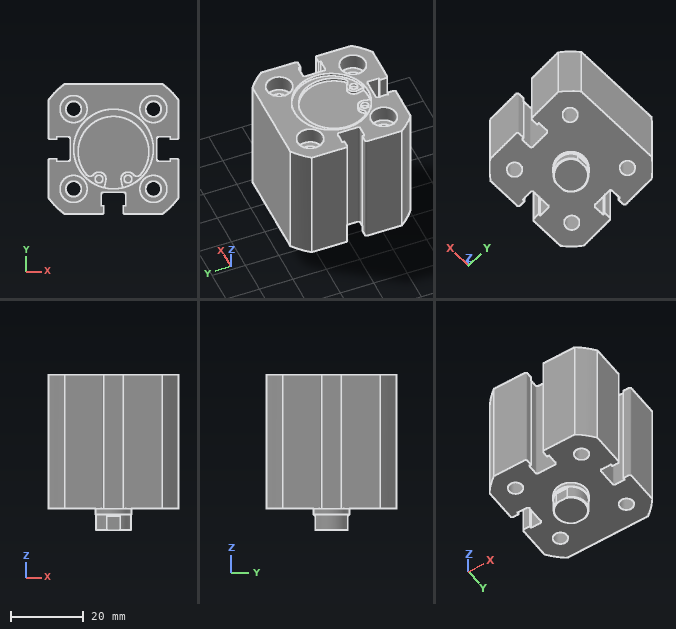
import cadquery as cq
import math

WIDTH = 36.0
CORNER_RADIUS = 22.5
TOTAL_HEIGHT = 43.0
ROD_PROTRUSION = 6.0
HOUSING_HEIGHT = TOTAL_HEIGHT - ROD_PROTRUSION

SLOT_MOUTH = 5.35
SLOT_WIDTH = 6.65
SLOT_DEPTH = 6.0
SLOT_LIP = 2.4
SLOT_ROUND = 0.5
SLOT_TURNS = (0, 90, 270)

MOUNT_PITCH = 22.0
MOUNT_DIAMETER = 4.2
MOUNT_HEAD_DIAMETER = 7.5
MOUNT_HEAD_DEPTH = 5.0

BORE_RADIUS = 11.0
RING_DEPTH = 0.95
RING_THICKNESS = 1.05
COVER_THICKNESS = 4.0
COVER_TOP = HOUSING_HEIGHT - RING_DEPTH - RING_THICKNESS
COVER_BOTTOM = COVER_TOP - COVER_THICKNESS

RING_OPENING_RADIUS = 9.75
RING_OPENING_Y = -0.77
LUG_X = 4.0
LUG_Y = -8.3
LUG_RADIUS = 1.95
LUG_HOLE_DIAMETER = 2.15
LUG_BLEND_RADIUS = 1.3
RING_GAP = 5.1

ROD_RADIUS = 5.0
ROD_COLLAR = 1.55
ROD_TIP_RADIUS = 4.85
ROD_TIP_CHAMFER = 0.2
ROD_FLAT_DISTANCE = 9.0


def make_slot():
    """Stepped slot that enters the -Y side and runs the full height."""
    outer_y = -WIDTH / 2
    mouth = cq.Workplane("XY").box(SLOT_MOUTH, SLOT_DEPTH, HOUSING_HEIGHT, centered=(True, False, False))
    mouth = mouth.translate((0, outer_y, 0))
    chamber = cq.Workplane("XY").box(
        SLOT_WIDTH, SLOT_DEPTH - SLOT_LIP, HOUSING_HEIGHT, centered=(True, False, False)
    )
    chamber = chamber.edges("|Z and >Y").fillet(SLOT_ROUND)
    return mouth.union(chamber.translate((0, outer_y + SLOT_LIP, 0)))


def make_housing():
    """Block with rounded corners, slots, mounting holes, cover bore and rod hole."""
    housing = cq.Workplane("XY").rect(WIDTH, WIDTH).extrude(HOUSING_HEIGHT)
    housing = housing.intersect(cq.Workplane("XY").circle(CORNER_RADIUS).extrude(HOUSING_HEIGHT))

    for turn in SLOT_TURNS:
        housing = housing.cut(make_slot().rotate((0, 0, 0), (0, 0, 1), turn))

    half_mouth = SLOT_MOUTH / 2
    side = WIDTH / 2
    mouth_edges = [(end * half_mouth, -side) for end in (-1, 1)]
    mouth_edges += [(face * side, end * half_mouth) for face in (-1, 1) for end in (-1, 1)]
    for x, y in mouth_edges:
        edge = housing.edges(cq.selectors.NearestToPointSelector((x, y, HOUSING_HEIGHT / 2)))
        housing = edge.fillet(SLOT_ROUND)

    housing = (
        housing.faces(">Z").workplane(origin=(0, 0, HOUSING_HEIGHT))
        .rect(MOUNT_PITCH, MOUNT_PITCH, forConstruction=True).vertices()
        .cboreHole(MOUNT_DIAMETER, MOUNT_HEAD_DIAMETER, MOUNT_HEAD_DEPTH)
    )
    bore = cq.Workplane("XY").workplane(offset=COVER_BOTTOM).circle(BORE_RADIUS)
    housing = housing.cut(bore.extrude(HOUSING_HEIGHT - COVER_BOTTOM))
    return housing.cut(cq.Workplane("XY").circle(ROD_RADIUS).extrude(COVER_BOTTOM))


def make_cover():
    """Plain disc that closes the bore."""
    return cq.Workplane("XY").workplane(offset=COVER_BOTTOM).circle(BORE_RADIUS).extrude(COVER_THICKNESS)


def point_at(center, radius, angle):
    """Point on a circle, with the angle in radians."""
    return (center[0] + radius * math.cos(angle), center[1] + radius * math.sin(angle))


def angle_to(start, end):
    """Direction from one point to another, in radians."""
    return math.atan2(end[1] - start[1], end[0] - start[0])


def mirrored(point):
    return (-point[0], point[1])


def make_ring():
    """Internal retaining ring that tapers towards two lugs with plier holes."""
    opening = (0, RING_OPENING_Y)
    lug = (LUG_X, LUG_Y)

    to_opening = RING_OPENING_RADIUS - LUG_BLEND_RADIUS
    to_lug = LUG_RADIUS + LUG_BLEND_RADIUS
    span = math.dist(opening, lug)
    swing = math.acos((to_opening**2 + span**2 - to_lug**2) / (2 * to_opening * span))
    blend_angle = angle_to(opening, lug) + swing
    blend = point_at(opening, to_opening, blend_angle)
    blend_start = point_at(opening, RING_OPENING_RADIUS, blend_angle)
    lug_start_angle = angle_to(lug, blend)
    lug_start = point_at(lug, LUG_RADIUS, lug_start_angle)
    blend_end_angle = lug_start_angle - math.pi
    blend_middle = point_at(blend, LUG_BLEND_RADIUS, (blend_angle + blend_end_angle) / 2)

    tip = (RING_GAP / 2, -math.sqrt(BORE_RADIUS**2 - (RING_GAP / 2) ** 2))
    tangent_swing = math.acos(LUG_RADIUS / math.dist(lug, tip))
    lug_end_angle = angle_to(lug, tip) - tangent_swing + 2 * math.pi
    lug_end = point_at(lug, LUG_RADIUS, lug_end_angle)
    lug_middle = point_at(lug, LUG_RADIUS, (lug_start_angle + lug_end_angle) / 2)

    ring = (
        cq.Workplane("XY").workplane(offset=COVER_TOP)
        .moveTo(*tip)
        .threePointArc((0, BORE_RADIUS), mirrored(tip))
        .lineTo(*mirrored(lug_end))
        .threePointArc(mirrored(lug_middle), mirrored(lug_start))
        .threePointArc(mirrored(blend_middle), mirrored(blend_start))
        .threePointArc((0, RING_OPENING_Y + RING_OPENING_RADIUS), blend_start)
        .threePointArc(blend_middle, lug_start)
        .threePointArc(lug_middle, lug_end)
        .close().extrude(RING_THICKNESS)
    )
    holes = (
        cq.Workplane("XY").workplane(offset=COVER_TOP)
        .pushPoints([lug, mirrored(lug)]).circle(LUG_HOLE_DIAMETER / 2).extrude(RING_THICKNESS)
    )
    return ring.cut(holes)


def make_rod():
    """Rod with a slightly thinner tip that carries two wrench flats with sloped run-outs."""
    tip_step = ROD_RADIUS - ROD_TIP_RADIUS
    rod = (
        cq.Workplane("XZ")
        .moveTo(0, COVER_BOTTOM)
        .lineTo(ROD_RADIUS, COVER_BOTTOM)
        .lineTo(ROD_RADIUS, -ROD_COLLAR)
        .lineTo(ROD_TIP_RADIUS, -ROD_COLLAR - tip_step)
        .lineTo(ROD_TIP_RADIUS, -ROD_PROTRUSION + ROD_TIP_CHAMFER)
        .lineTo(ROD_TIP_RADIUS - ROD_TIP_CHAMFER, -ROD_PROTRUSION)
        .lineTo(0, -ROD_PROTRUSION)
        .close().revolve(360, (0, 0, 0), (0, 1, 0))
    )
    flat_y = ROD_FLAT_DISTANCE / 2
    run_out = ROD_RADIUS - flat_y
    flat_cut = (
        cq.Workplane("YZ")
        .moveTo(flat_y, -ROD_PROTRUSION)
        .lineTo(flat_y, -ROD_COLLAR - run_out)
        .lineTo(ROD_RADIUS, -ROD_COLLAR)
        .lineTo(ROD_RADIUS, -ROD_PROTRUSION)
        .close().extrude(ROD_RADIUS, both=True)
    )
    return rod.cut(flat_cut).cut(flat_cut.mirror("XZ"))


housing = make_housing()
cover = make_cover()
retaining_ring = make_ring()
piston_rod = make_rod()

result = cq.Compound.makeCompound([housing.val(), cover.val(), retaining_ring.val(), piston_rod.val()])